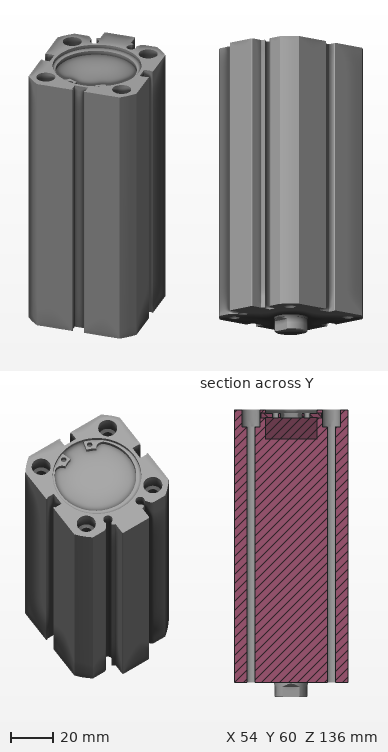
import cadquery as cq
import math

BODY_WIDTH = 54.0
BODY_LENGTH = 129.0
CORNER_DIAMETER = 68.0

RAIL_TOP = 33.0
RAIL_WIDTH = 15.4
RAIL_EDGE_RADIUS = 0.5

SENSOR_SLOT_X = 9.2
SENSOR_SLOT_Y = 22.8
SENSOR_SLOT_RADIUS = 2.2
RAIL_LIP = (9.3, 26.1)
RAIL_NECK = (8.7, 24.9)
SHOULDER_NECK = (11.0, 23.9)
SHOULDER_SIDE = (12.4, 25.9)
SHOULDER_MIDDLE = (13.3, 26.7)
SHOULDER_X = 14.8

SLOT_DEPTH = 4.5
SLOT_WIDTH = 6.6
SLOT_MOUTH_WIDTH = 6.1
SLOT_LIP_WIDTH = 5.5
SLOT_LIP_TIP = 0.4
SLOT_LIP_END = 1.0

HOLE_PITCH = 38.0
HOLE_DIAMETER = 5.3
COUNTERBORE_DIAMETER = 9.0
COUNTERBORE_DEPTH = 8.0

RECESS_DIAMETER = 42.0
RING_DEPTH = 1.7
RING_THICKNESS = 2.0
RING_OUTER_RADIUS = 22.25
RING_INNER_RADIUS = 19.3
RING_INNER_OFFSET = 1.3
LUG_INNER_RADIUS = 16.3
LUG_START_ANGLE = 16.5
LUG_END_ANGLE = 33.0
LUG_FILLET = 3.3
LUG_HOLE_DIAMETER = 2.6
LUG_HOLE_X = 7.4
LUG_HOLE_Y = -17.1
CAP_THICKNESS = 10.0

ROD_DIAMETER = 16.0
ROD_END_DIAMETER = 15.4
ROD_PROJECTION = 7.0
ROD_SHOULDER = 1.0
ROD_CHAMFER = 0.4
FLAT_WIDTH = 13.0
FLAT_TOP = 2.1

HALF_WIDTH = BODY_WIDTH / 2
RING_TOP = BODY_LENGTH - RING_DEPTH
CAP_TOP = RING_TOP - RING_THICKNESS
CAP_BOTTOM = CAP_TOP - CAP_THICKNESS


def at_angle(radius, degrees):
    """Point on a circle, with the angle measured from -Y towards +X."""
    angle = math.radians(degrees)
    return (radius * math.sin(angle), -radius * math.cos(angle))


def sensor_slot():
    """Slot on the +X side of the rail, with the space above the shoulder."""
    half_rail = RAIL_WIDTH / 2
    channel = (
        cq.Workplane("XY")
        .moveTo(*SHOULDER_NECK)
        .lineTo(*SHOULDER_SIDE)
        .threePointArc(SHOULDER_MIDDLE, (SHOULDER_X, HALF_WIDTH))
        .lineTo(HALF_WIDTH, HALF_WIDTH)
        .lineTo(HALF_WIDTH, RAIL_TOP)
        .lineTo(half_rail, RAIL_TOP)
        .lineTo(half_rail, HALF_WIDTH)
        .lineTo(*RAIL_LIP)
        .lineTo(*RAIL_NECK)
        .close()
        .extrude(BODY_LENGTH)
    )
    bottom = (
        cq.Workplane("XY")
        .center(SENSOR_SLOT_X, SENSOR_SLOT_Y)
        .circle(SENSOR_SLOT_RADIUS)
        .extrude(BODY_LENGTH)
    )
    return channel.union(bottom)


def lipped_slot():
    """Slot in the -Y side, with a pointed lip along each side of its mouth."""
    side_y = -HALF_WIDTH
    right_side = [
        (SLOT_MOUTH_WIDTH / 2, side_y),
        (SLOT_LIP_WIDTH / 2, side_y + SLOT_LIP_TIP),
        (SLOT_WIDTH / 2, side_y + SLOT_LIP_END),
        (SLOT_WIDTH / 2, side_y + SLOT_DEPTH),
    ]
    left_side = [(-x, y) for x, y in reversed(right_side)]
    return cq.Workplane("XY").polyline(right_side + left_side).close().extrude(BODY_LENGTH)


def make_housing():
    body = cq.Workplane("XY").box(
        BODY_WIDTH, HALF_WIDTH + RAIL_TOP, BODY_LENGTH, centered=(True, False, False)
    )
    body = body.translate((0, -HALF_WIDTH, 0))
    body = body.intersect(cq.Workplane("XY").circle(CORNER_DIAMETER / 2).extrude(BODY_LENGTH))

    slot = sensor_slot()
    body = body.cut(slot).cut(slot.mirror("YZ"))
    body = body.faces(">Y").edges("|Z").fillet(RAIL_EDGE_RADIUS)

    for angle in (-90, 0, 90):
        body = body.cut(lipped_slot().rotate((0, 0, 0), (0, 0, 1), angle))

    body = (
        body.faces(">Z").workplane(origin=(0, 0, BODY_LENGTH))
        .rect(HOLE_PITCH, HOLE_PITCH, forConstruction=True)
        .vertices()
        .cboreHole(HOLE_DIAMETER, COUNTERBORE_DIAMETER, COUNTERBORE_DEPTH)
    )

    recess = (
        cq.Workplane("XY").workplane(offset=CAP_BOTTOM)
        .circle(RECESS_DIAMETER / 2)
        .extrude(BODY_LENGTH - CAP_BOTTOM)
    )
    groove = (
        cq.Workplane("XY").workplane(offset=CAP_TOP)
        .circle(RING_OUTER_RADIUS)
        .extrude(RING_THICKNESS)
    )
    rod_bore = cq.Workplane("XY").circle(ROD_DIAMETER / 2).extrude(BODY_LENGTH)
    return body.cut(recess).cut(groove).cut(rod_bore)


def ring_sector(inner_radius, start_angle, end_angle):
    """Part of an annulus reaching out to the ring's outer radius."""
    middle_angle = (start_angle + end_angle) / 2
    return (
        cq.Workplane("XY").workplane(offset=CAP_TOP)
        .moveTo(*at_angle(inner_radius, start_angle))
        .threePointArc(at_angle(inner_radius, middle_angle), at_angle(inner_radius, end_angle))
        .lineTo(*at_angle(RING_OUTER_RADIUS, end_angle))
        .threePointArc(
            at_angle(RING_OUTER_RADIUS, middle_angle), at_angle(RING_OUTER_RADIUS, start_angle)
        )
        .close()
        .extrude(RING_THICKNESS)
    )


def lug_notch():
    """Corner where the radial side of a lug meets the ring's inner edge."""
    angle = math.radians(LUG_END_ANGLE)
    across = RING_INNER_OFFSET * math.sin(angle)
    along = RING_INNER_OFFSET * math.cos(angle)
    return at_angle(along + math.sqrt(RING_INNER_RADIUS**2 - across**2), LUG_END_ANGLE)


def make_snap_ring():
    """Eccentric open ring with a drilled lug at each end of its gap."""
    opening = (
        cq.Workplane("XY").workplane(offset=CAP_TOP)
        .center(0, -RING_INNER_OFFSET)
        .circle(RING_INNER_RADIUS)
        .extrude(RING_THICKNESS)
    )
    ring = ring_sector(LUG_INNER_RADIUS, LUG_START_ANGLE, 360 - LUG_START_ANGLE)
    lugs = ring_sector(LUG_INNER_RADIUS, LUG_START_ANGLE, LUG_END_ANGLE)
    lugs = lugs.union(lugs.mirror("YZ"))
    ring = ring.cut(opening.cut(lugs))

    notch_x, notch_y = lug_notch()
    for x in (-notch_x, notch_x):
        corner = cq.selectors.NearestToPointSelector((x, notch_y, CAP_TOP + RING_THICKNESS / 2))
        ring = ring.edges("|Z").edges(corner).fillet(LUG_FILLET)

    holes = (
        cq.Workplane("XY").workplane(offset=CAP_TOP)
        .pushPoints([(-LUG_HOLE_X, LUG_HOLE_Y), (LUG_HOLE_X, LUG_HOLE_Y)])
        .circle(LUG_HOLE_DIAMETER / 2)
        .extrude(RING_THICKNESS)
    )
    return ring.cut(holes)


def make_cap():
    return (
        cq.Workplane("XY").workplane(offset=CAP_BOTTOM)
        .circle(RECESS_DIAMETER / 2)
        .extrude(CAP_THICKNESS)
    )


def make_rod():
    rod = (
        cq.Workplane("XY").workplane(offset=-ROD_SHOULDER)
        .circle(ROD_DIAMETER / 2)
        .extrude(CAP_BOTTOM + ROD_SHOULDER)
    )
    rod_end = (
        cq.Workplane("XY").workplane(offset=-ROD_PROJECTION)
        .circle(ROD_END_DIAMETER / 2)
        .extrude(ROD_PROJECTION - ROD_SHOULDER)
        .faces("<Z").chamfer(ROD_CHAMFER)
    )
    rod = rod.union(rod_end)

    half_flat = FLAT_WIDTH / 2
    runout = ROD_DIAMETER / 2 - half_flat
    flat = (
        cq.Workplane("YZ")
        .moveTo(half_flat, -ROD_PROJECTION)
        .lineTo(half_flat, -FLAT_TOP)
        .lineTo(half_flat + runout, -FLAT_TOP + runout)
        .lineTo(half_flat + runout, -ROD_PROJECTION)
        .close()
        .extrude(ROD_DIAMETER / 2, both=True)
    )
    return rod.cut(flat).cut(flat.mirror("XZ"))


housing = make_housing()
snap_ring = make_snap_ring()
cap = make_cap()
rod = make_rod()

result = cq.Compound.makeCompound([housing.val(), snap_ring.val(), cap.val(), rod.val()])